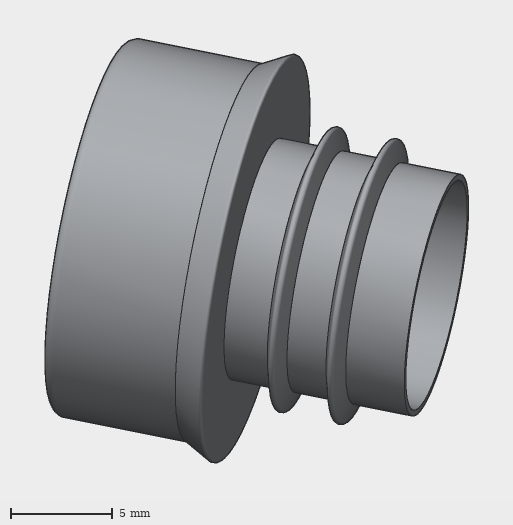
import cadquery as cq
import math

total_length = 17.6
bore_radius = 11.6 / 2
head_radius = 19.1 / 2
spigot_radius = 12.2 / 2
front_edge_fillet = 0.5

lip_start = 6.8
lip_end = 8.36
lip_radius = 10.3
lip_tip_round = 0.12

first_ridge_center = 11.08
ridge_spacing = 3.0
ridge_count = 2
ridge_base_width = 1.0
ridge_radius = 7.2
ridge_tip_round = 0.19


def tangent_angle(start, center, radius):
    """Direction of the line from start that touches the upper left of a circle."""
    dx = center[0] - start[0]
    dy = center[1] - start[1]
    return math.atan2(dy, dx) + math.asin(radius / math.hypot(dx, dy))


def on_circle(center, radius, angle):
    return (center[0] + radius * math.cos(angle), center[1] + radius * math.sin(angle))


def revolve_about_x(profile):
    return profile.close().revolve(360, (0, 0, 0), (1, 0, 0))


def cylinder(radius, length):
    return cq.Workplane("YZ").circle(radius).extrude(length)


def make_lip():
    start = (lip_start, head_radius)
    tip_center = (lip_end - lip_tip_round, lip_radius - lip_tip_round)
    normal = tangent_angle(start, tip_center, lip_tip_round) + math.pi / 2
    profile = (
        cq.Workplane("XY")
        .moveTo(lip_start, 0)
        .lineTo(*start)
        .lineTo(*on_circle(tip_center, lip_tip_round, normal))
        .threePointArc(
            on_circle(tip_center, lip_tip_round, normal / 2),
            (lip_end, tip_center[1]),
        )
        .lineTo(lip_end, 0)
    )
    return revolve_about_x(profile)


def make_ridge(center_x):
    start = (center_x - ridge_base_width / 2, spigot_radius)
    end = (center_x + ridge_base_width / 2, spigot_radius)
    tip_center = (center_x, ridge_radius - ridge_tip_round)
    normal = tangent_angle(start, tip_center, ridge_tip_round) + math.pi / 2
    profile = (
        cq.Workplane("XY")
        .moveTo(start[0], 0)
        .lineTo(*start)
        .lineTo(*on_circle(tip_center, ridge_tip_round, normal))
        .threePointArc(
            (center_x, ridge_radius),
            on_circle(tip_center, ridge_tip_round, math.pi - normal),
        )
        .lineTo(*end)
        .lineTo(end[0], 0)
    )
    return revolve_about_x(profile)


head = cylinder(head_radius, lip_start)
body = head.union(make_lip()).union(cylinder(spigot_radius, total_length))
for index in range(ridge_count):
    body = body.union(make_ridge(first_ridge_center + index * ridge_spacing))

body = body.cut(cylinder(bore_radius, total_length))
result = body.faces("<X").edges().fillet(front_edge_fillet)